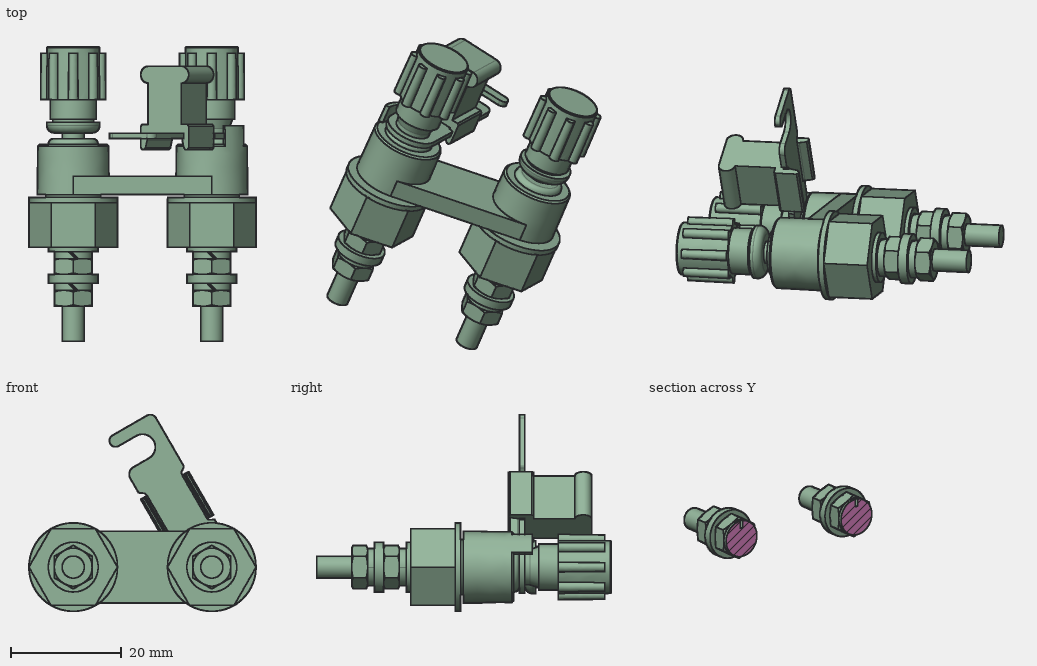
import cadquery as cq
import math


POST_SPACING = 25.0
LEFT_X = -POST_SPACING / 2
RIGHT_X = POST_SPACING / 2

STUD_DIA = 4.0
STUD_END_Y = -26.0
FLANGE_DIA = 16.0
FLANGE_THICK = 1.0
HEX_SIDES = 6
BIG_HEX_LENGTH = 8.05
PLAIN_WASHER_DIA = 9.0
THIN_WASHER_THICK = 0.75
THICK_WASHER_THICK = 1.65
SPRING_WASHER_DIA = 6.8
SPRING_WASHER_THICK = 1.25
SPRING_GAP = 0.3
SPRING_GAP_ANGLE = 45.0
NUT_FLATS = 6.8
NUT_LENGTH = 2.85
NUT_FACE_DIA = 6.85
NUT_CHAMFER = 0.25

NECK_DIA = 10.0
BODY_START_Y = 0.5
BODY_END_Y = 9.55
BODY_BASE_RADIUS = 6.5
BODY_TOP_RADIUS = 6.4
BODY_CHAMFER = 0.35
BODY_DRAFT_LENGTH = BODY_END_Y - BODY_CHAMFER - BODY_START_Y
BAR_HEIGHT = 13.0
BAR_THICK = 3.3
SEAT_BASE_RADIUS = 4.5
SEAT_EDGE_RADIUS = 1.0

PLATE_THICK = 1.0
PLATE_MIN_Y = 10.6
PLATE_MAX_Y = PLATE_MIN_Y + PLATE_THICK

CUP_RADIUS = 4.8
CUP_ROUND = 1.4
CUP_TOP_Y = 13.55
SHOULDER_RADIUS = 3.72
COLLAR_START_Y = 14.05
COLLAR_RADIUS = 4.17
CONE_END_Y = 12.45
CONE_END_RADIUS = 3.2
GRIP_START_Y = 17.6
GRIP_END_Y = 27.2
GRIP_RADIUS = 4.85
GRIP_DRAFT = 0.5
GRIP_CHAMFER = 0.2
RIB_COUNT = 8
RIB_RADIUS = 0.9
RIB_CIRCLE_RADIUS = 5.0
RIB_END_Y = 26.0

STOP_END_Y = 12.95
STOP_THICK = 0.85
STOP_START_ANGLE = 25.0
STOP_END_ANGLE = 68.0

CLIP_TILT = 30.0
PLATE_HALF_WIDTH = 4.75
NECK_HALF_WIDTH = 3.75
SHOULDER_INNER = 7.2
NECK_START = 7.7
NECK_END = 17.5
SHOULDER_OUTER = 18.2
SLOT_WIDTH = 4.6
FINGER_WIDTH = 2.25
PLATE_CORNER_RADIUS = 1.2
FINGER_TIP_RADIUS = 1.1
SLOT_LIP_RADIUS = 1.5
SHOULDER_ROUND = 0.4

HANDLE_START = 8.0
HANDLE_LENGTH = 9.0
HANDLE_WIDTH = 10.0
WEB_WIDTH = 7.0
BASE_MIN_Y = 8.6
BASE_MAX_Y = 13.15
BASE_CHAMFER = 0.3
BEAD_MAX_Y = 23.65
BEAD_THICK = 3.05
LEG_ROOT_THICK = 1.35
LEG_TIP_THICK = 1.0
LEG_ROOT_Y = 10.25


def cylinder(radius, y_start, y_end):
    """Solid cylinder on the Y axis."""
    return cq.Workplane("XZ", origin=(0, y_start, 0)).circle(radius).extrude(y_start - y_end)


def drafted_cylinder(radius, y_start, y_end):
    """Cylinder on the Y axis that narrows by the grip's draft angle towards +Y."""
    length = y_end - y_start
    end_radius = radius - length * math.tan(math.radians(GRIP_DRAFT))
    cone = cq.Solid.makeCone(radius, end_radius, length, cq.Vector(0, y_start, 0), cq.Vector(0, 1, 0))
    return cq.Workplane("XY").add(cone)


def hexagon(corner_dia, y_start, y_end):
    """Hexagonal prism on the Y axis with two corners on the X axis."""
    return cq.Workplane("XZ", origin=(0, y_start, 0)).polygon(HEX_SIDES, corner_dia).extrude(y_start - y_end)


def revolved(points, angle=360):
    """Solid swept about the Y axis by a closed outline of (radius, y) points, starting at +X towards +Z."""
    return cq.Workplane("XY").polyline(points).close().revolve(angle, (0, 0, 0), (0, -1, 0))


def box(x_range, y_range, z_range):
    """Box between pairs of limits."""
    size = [high - low for low, high in (x_range, y_range, z_range)]
    corner = (x_range[0], y_range[0], z_range[0])
    return cq.Workplane("XY").box(*size, centered=False).translate(corner)


def nut(y_top):
    """Small hexagon nut with two corners on the Z axis, chamfered at both ends."""
    y_bottom = y_top - NUT_LENGTH
    corner_dia = NUT_FLATS / math.cos(math.pi / HEX_SIDES)
    prism = hexagon(corner_dia, y_bottom, y_top).rotate((0, 0, 0), (0, 1, 0), 90)
    envelope = revolved(
        [
            (0, y_bottom),
            (NUT_FACE_DIA / 2, y_bottom),
            (corner_dia / 2, y_bottom + NUT_CHAMFER),
            (corner_dia / 2, y_top - NUT_CHAMFER),
            (NUT_FACE_DIA / 2, y_top),
            (0, y_top),
        ]
    )
    return prism.intersect(envelope)


def spring_washer(y_top):
    """Split washer with a slanted gap at its top."""
    radius = SPRING_WASHER_DIA / 2
    y_bottom = y_top - SPRING_WASHER_THICK
    gap_length = 3 * SPRING_WASHER_THICK
    gap = cq.Workplane("XY").box(SPRING_GAP, gap_length, radius, centered=(True, True, False))
    gap = gap.rotate((0, 0, 0), (0, 0, 1), SPRING_GAP_ANGLE)
    gap = gap.translate((0, (y_top + y_bottom) / 2, 0))
    core = cylinder(STUD_DIA / 2, y_bottom, y_top)
    return cylinder(radius, y_bottom, y_top).cut(gap).union(core)


def mounting_hardware():
    """Stud, flange, large hexagon and two sets of washers and nuts."""
    hex_end = -FLANGE_THICK - BIG_HEX_LENGTH
    hardware = cylinder(STUD_DIA / 2, STUD_END_Y, GRIP_START_Y)
    hardware = hardware.union(cylinder(FLANGE_DIA / 2, -FLANGE_THICK, 0))
    hardware = hardware.union(hexagon(FLANGE_DIA, hex_end, -FLANGE_THICK))
    y = hex_end
    for washer_thick in (THIN_WASHER_THICK, THICK_WASHER_THICK):
        hardware = hardware.union(cylinder(PLAIN_WASHER_DIA / 2, y - washer_thick, y))
        y -= washer_thick
        hardware = hardware.union(spring_washer(y))
        y -= SPRING_WASHER_THICK
        hardware = hardware.union(nut(y))
        y -= NUT_LENGTH
    return hardware


def stop_sector():
    """Arc-shaped column that bounds the stop wall, reaching outside the body."""
    inner_radius = BODY_TOP_RADIUS - STOP_THICK
    outer_radius = 2 * BODY_BASE_RADIUS
    outline = [
        (inner_radius, BODY_START_Y),
        (outer_radius, BODY_START_Y),
        (outer_radius, STOP_END_Y),
        (inner_radius, STOP_END_Y),
    ]
    sector = revolved(outline, STOP_END_ANGLE - STOP_START_ANGLE)
    return sector.rotate((0, 0, 0), (0, 1, 0), -STOP_START_ANGLE)


def body(with_stop):
    """Tapered insulating body with its neck and rounded seat; optionally with the stop wall."""
    slope = (BODY_TOP_RADIUS - BODY_BASE_RADIUS) / BODY_DRAFT_LENGTH
    end_radius = BODY_BASE_RADIUS + slope * (STOP_END_Y - BODY_START_Y)
    tall_cone = revolved(
        [(0, BODY_START_Y), (BODY_BASE_RADIUS, BODY_START_Y), (end_radius, STOP_END_Y), (0, STOP_END_Y)]
    )
    waste_radius = BODY_TOP_RADIUS + BODY_CHAMFER
    waste = revolved(
        [
            (0, BODY_END_Y),
            (BODY_TOP_RADIUS - BODY_CHAMFER, BODY_END_Y),
            (waste_radius, BODY_END_Y - 2 * BODY_CHAMFER),
            (waste_radius, STOP_END_Y),
            (0, STOP_END_Y),
        ]
    )
    if with_stop:
        waste = waste.cut(stop_sector())
    neck = cylinder(NECK_DIA / 2, 0, BODY_START_Y)
    seat = cylinder(SEAT_BASE_RADIUS, BODY_END_Y, PLATE_MIN_Y)
    seat = seat.faces(">Y").edges().fillet(SEAT_EDGE_RADIUS)
    return tall_cone.cut(waste).union(neck).union(seat)


def grip():
    """Collar and ribbed grip of the thumb knob."""
    core = drafted_cylinder(GRIP_RADIUS, GRIP_START_Y, GRIP_END_Y)
    core = core.faces(">Y").edges().chamfer(GRIP_CHAMFER)
    knob = core.union(cylinder(COLLAR_RADIUS, COLLAR_START_Y, GRIP_START_Y))
    rib = drafted_cylinder(RIB_RADIUS, GRIP_START_Y, RIB_END_Y).translate((RIB_CIRCLE_RADIUS, 0, 0))
    for index in range(RIB_COUNT):
        knob = knob.union(rib.rotate((0, 0, 0), (0, 1, 0), index * 360 / RIB_COUNT))
    return knob


def cup():
    """Round-bottomed clamping cup under the collar of the free knob."""
    bowl = cylinder(CUP_RADIUS, PLATE_MAX_Y, CUP_TOP_Y).faces("<Y").edges().fillet(CUP_ROUND)
    return bowl.union(cylinder(SHOULDER_RADIUS, CUP_TOP_Y, COLLAR_START_Y))


def clamping_cone():
    """Tapered end of the knob that bears on the clip plate."""
    return revolved(
        [
            (0, PLATE_MAX_Y),
            (CONE_END_RADIUS, PLATE_MAX_Y),
            (CONE_END_RADIUS, CONE_END_Y),
            (SHOULDER_RADIUS, COLLAR_START_Y),
            (0, COLLAR_START_Y),
        ]
    )


def link_bar():
    """Flat bar between the two post axes."""
    y_range = (BODY_START_Y, BODY_START_Y + BAR_THICK)
    return box((LEFT_X, RIGHT_X), y_range, (-BAR_HEIGHT / 2, BAR_HEIGHT / 2))


def clip_plate():
    """Hooked plate pointing along +Z, pivoting on the Y axis."""
    slot_low = POST_SPACING - SLOT_WIDTH / 2
    slot_high = POST_SPACING + SLOT_WIDTH / 2
    plate_end = slot_high + FINGER_WIDTH
    plane = cq.Workplane("XZ", origin=(0, PLATE_MAX_Y, 0))
    plate = (
        plane.moveTo(-PLATE_HALF_WIDTH, 0)
        .threePointArc((0, -PLATE_HALF_WIDTH), (PLATE_HALF_WIDTH, 0))
        .lineTo(PLATE_HALF_WIDTH, SHOULDER_INNER)
        .lineTo(NECK_HALF_WIDTH, NECK_START)
        .lineTo(NECK_HALF_WIDTH, NECK_END)
        .lineTo(PLATE_HALF_WIDTH, SHOULDER_OUTER)
        .lineTo(PLATE_HALF_WIDTH, plate_end)
        .lineTo(-PLATE_HALF_WIDTH, plate_end)
        .lineTo(-PLATE_HALF_WIDTH, slot_high)
        .lineTo(0, slot_high)
        .threePointArc((SLOT_WIDTH / 2, POST_SPACING), (0, slot_low))
        .lineTo(-PLATE_HALF_WIDTH, slot_low)
        .lineTo(-PLATE_HALF_WIDTH, SHOULDER_OUTER)
        .lineTo(-NECK_HALF_WIDTH, NECK_END)
        .lineTo(-NECK_HALF_WIDTH, NECK_START)
        .lineTo(-PLATE_HALF_WIDTH, SHOULDER_INNER)
        .close()
        .extrude(PLATE_THICK)
    )
    middle_y = PLATE_MIN_Y + PLATE_THICK / 2
    rounded_corners = (
        (PLATE_HALF_WIDTH, plate_end, PLATE_CORNER_RADIUS),
        (-PLATE_HALF_WIDTH, plate_end, FINGER_TIP_RADIUS),
        (-PLATE_HALF_WIDTH, slot_high, FINGER_TIP_RADIUS),
        (-PLATE_HALF_WIDTH, slot_low, SLOT_LIP_RADIUS),
        (PLATE_HALF_WIDTH, SHOULDER_OUTER, SHOULDER_ROUND),
        (-PLATE_HALF_WIDTH, SHOULDER_OUTER, SHOULDER_ROUND),
        (NECK_HALF_WIDTH, NECK_END, SHOULDER_ROUND),
        (-NECK_HALF_WIDTH, NECK_END, SHOULDER_ROUND),
    )
    for x, z, radius in rounded_corners:
        plate = plate.edges(cq.NearestToPointSelector((x, middle_y, z))).fillet(radius)
    return plate


def clip_handle():
    """Moulded handle: channel-shaped base gripping the plate, web and rounded bead."""
    half_width = HANDLE_WIDTH / 2
    leg_root = half_width - LEG_ROOT_THICK
    leg_inner = half_width - LEG_TIP_THICK
    plane = cq.Workplane("XY", origin=(0, 0, HANDLE_START))
    base = (
        plane.moveTo(-half_width, BASE_MIN_Y + BASE_CHAMFER)
        .lineTo(-half_width, BASE_MAX_Y - BASE_CHAMFER)
        .lineTo(-half_width + BASE_CHAMFER, BASE_MAX_Y)
        .lineTo(half_width - BASE_CHAMFER, BASE_MAX_Y)
        .lineTo(half_width, BASE_MAX_Y - BASE_CHAMFER)
        .lineTo(half_width, BASE_MIN_Y + BASE_CHAMFER)
        .lineTo(half_width - BASE_CHAMFER, BASE_MIN_Y)
        .lineTo(leg_inner + BASE_CHAMFER, BASE_MIN_Y)
        .lineTo(leg_inner, BASE_MIN_Y + BASE_CHAMFER)
        .lineTo(leg_root, LEG_ROOT_Y)
        .lineTo(leg_root, PLATE_MIN_Y)
        .lineTo(-leg_root, PLATE_MIN_Y)
        .lineTo(-leg_root, LEG_ROOT_Y)
        .lineTo(-leg_inner, BASE_MIN_Y + BASE_CHAMFER)
        .lineTo(-leg_inner - BASE_CHAMFER, BASE_MIN_Y)
        .lineTo(-half_width + BASE_CHAMFER, BASE_MIN_Y)
        .close()
        .extrude(HANDLE_LENGTH)
    )
    bead_y = BEAD_MAX_Y - BEAD_THICK / 2
    web_height = bead_y - BASE_MAX_Y
    web = plane.center(0, BASE_MAX_Y + web_height / 2).rect(WEB_WIDTH, web_height).extrude(HANDLE_LENGTH)
    bead = plane.center(0, bead_y).slot2D(HANDLE_WIDTH, BEAD_THICK).extrude(HANDLE_LENGTH)
    return base.union(web).union(bead)


def shorting_clip():
    """Plate and handle, swung up from the line of the posts."""
    clip = clip_plate().union(clip_handle())
    return clip.rotate((0, 0, 0), (0, 1, 0), -CLIP_TILT)


post = mounting_hardware().union(grip())
left_post = post.union(body(with_stop=False)).union(cup())
right_post = post.union(body(with_stop=True)).union(clamping_cone()).union(shorting_clip())

result = (
    left_post.translate((LEFT_X, 0, 0))
    .union(right_post.translate((RIGHT_X, 0, 0)))
    .union(link_bar())
)